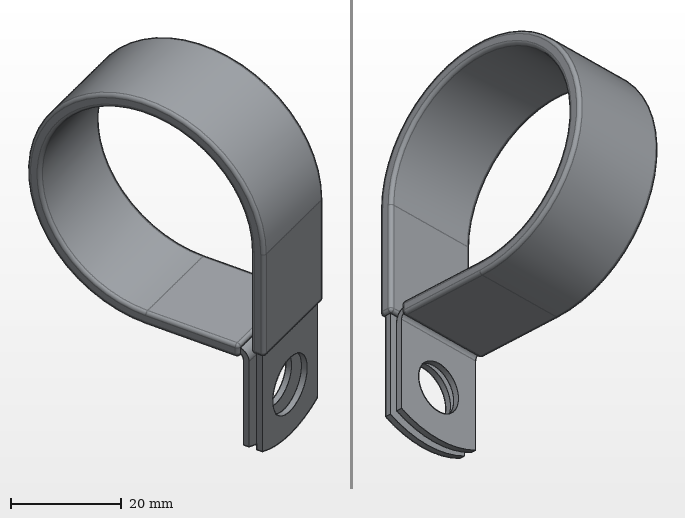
import cadquery as cq

overall_height = 71.85

loop_radius = 23.6
cushion_thickness = 2.8
cushion_width = 20.6
cushion_edge_radius = 0.7
side_cushion_end_z = -22.9
lower_cushion_end_x = 19.6

strap_thickness = 1.2
strap_width = 19.3
leg_gap = 1.6
bend_inner_radius = 1.2
leg_bottom_z = loop_radius + cushion_thickness / 2 - overall_height
tip_sagitta = 2.15

inner_hole_diameter = 10.35
outer_hole_diameter = 12.0
hole_z = -35.6

outer_leg_x = loop_radius
inner_leg_x = outer_leg_x - strap_thickness - leg_gap
bend_radius = bend_inner_radius + strap_thickness / 2
bend_center_x = inner_leg_x - bend_radius
bend_center_z = -loop_radius - bend_radius


def make_cushion():
    """Three-quarter ring with two straight tangent runs, rounded on every edge."""
    outer = loop_radius + cushion_thickness / 2
    inner = loop_radius - cushion_thickness / 2
    diagonal = 0.5 ** 0.5
    blank = (
        cq.Workplane("XZ")
        .moveTo(outer, side_cushion_end_z)
        .lineTo(outer, 0)
        .threePointArc((-outer * diagonal, outer * diagonal), (0, -outer))
        .lineTo(lower_cushion_end_x, -outer)
        .lineTo(lower_cushion_end_x, -inner)
        .lineTo(0, -inner)
        .threePointArc((-inner * diagonal, inner * diagonal), (inner, 0))
        .lineTo(inner, side_cushion_end_z)
        .close()
        .extrude(cushion_width / 2, both=True)
    )
    side_edges = blank.faces("<Y or >Y").edges()
    lower_end_edges = blank.faces(cq.selectors.NearestToPointSelector(
        (lower_cushion_end_x, 0, -loop_radius))).edges()
    side_end_edges = blank.faces(cq.selectors.NearestToPointSelector(
        (loop_radius, 0, side_cushion_end_z))).edges()
    return side_edges.add(lower_end_edges).add(side_end_edges).fillet(cushion_edge_radius)


def make_leg(center_x, top_z, hole_diameter):
    """Flat strap leg with a bolt hole and a shallow arc at its lower tip."""
    half_width = strap_width / 2
    shoulder_z = leg_bottom_z + tip_sagitta
    return (
        cq.Workplane("YZ", origin=(center_x, 0, 0))
        .moveTo(-half_width, top_z)
        .lineTo(-half_width, shoulder_z)
        .threePointArc((0, leg_bottom_z), (half_width, shoulder_z))
        .lineTo(half_width, top_z)
        .close()
        .moveTo(0, hole_z)
        .circle(hole_diameter / 2)
        .extrude(strap_thickness / 2, both=True)
    )


def make_bend():
    """Quarter bend from the horizontal cushion run down into the inner leg."""
    bend_start = cq.Workplane("YZ", origin=(bend_center_x, 0, -loop_radius))
    return bend_start.rect(strap_width, strap_thickness).revolve(
        90, (0, -bend_radius, 0), (1, -bend_radius, 0)
    )


outer_leg = make_leg(outer_leg_x, side_cushion_end_z + strap_thickness, outer_hole_diameter)
inner_leg = make_leg(inner_leg_x, bend_center_z, inner_hole_diameter)

result = make_cushion().union(make_bend()).union(outer_leg).union(inner_leg)